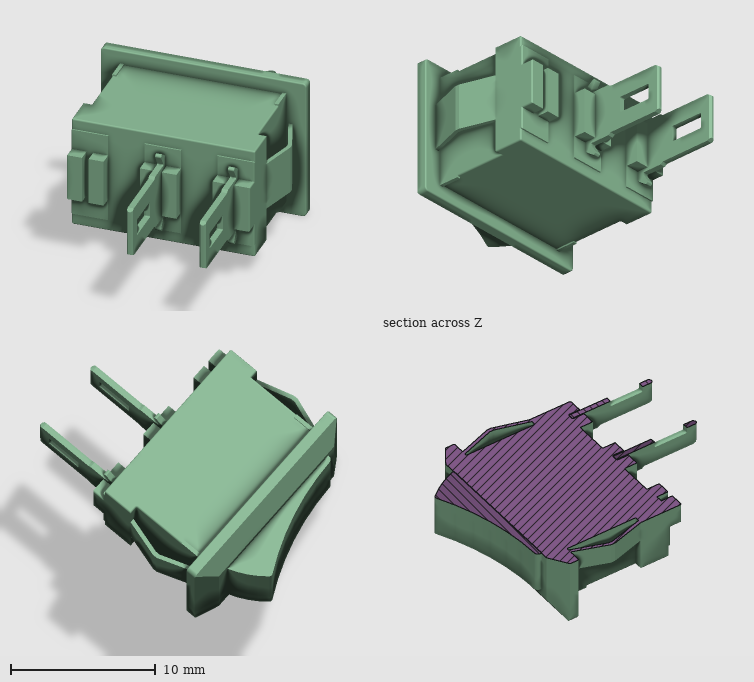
import cadquery as cq

bezel_length = 15.1
bezel_height = 10.6
bezel_rim = 0.78
bezel_depth = 1.75
bezel_face_length = 12.23
bezel_face_height = 7.55
bezel_corner_radius = 0.3
bezel_edge_radius = 0.1

edge_radius = 0.12
body_length = 12.2
body_height = 8.4
body_depth = 8.15
base_length = 13.45
base_start = 5.75
rib_width = 0.3
rib_height = 0.12
rib_depth = 1.63

terminal_pitch = 5.35
pad_width = 2.68
pad_thickness = 0.12
pad_bottom = -3.3
middle_pad_top = 3.3
end_pad_top = 3.4
block_depth = 0.93
block_height = 3.5
block_centre_z = 0.12
middle_block_gap = 0.55
end_block_gap = 0.49
pad_face = -body_depth - pad_thickness
block_face = pad_face - block_depth

clip_thickness = 0.31
clip_height = 3.55
clip_centre_z = 0.15
clip_root_x = 6.55
clip_bend_x = 7.5
clip_bend_start = 2.72
clip_bend_end = 3.05

rocker_left = -5.5
rocker_right = 5.2
rocker_height = 6.47
rocker_low_y = 2.14
rocker_tip_x = 3.62
rocker_tip_y = 4.43
rocker_side_radius = 7.39
rocker_low_radius = 0.31
rocker_tip_radius = 0.23

terminal_thickness = 0.45
terminal_centre_z = 0.14
terminal_end = -15.07
blade_half = 1.87
shoulder_half = 2.02
shoulder_end = -10.38
shoulder_slope_length = 0.21
tip_taper_length = 0.31
tip_taper_height = 0.17
tip_bevel = 0.14
notch_y = -8.69
notch_radius = 0.08
barb_root_half = 2.53
barb_outer_corner = (-9.02, 3.07)
barb_inner_corner = (-9.23, 2.9)
barb_tip_radius = 0.12
window_centre_y = -12.81
window_length = 2.7
window_height = 1.22
window_radius = 0.1


def box(x_range, y_range, z_range):
    """Box between two limits along each axis."""
    lows, highs = zip(x_range, y_range, z_range)
    sizes = [high - low for low, high in zip(lows, highs)]
    return cq.Workplane("XY").box(*sizes, centered=False).translate(lows)


def make_bezel():
    """Rectangular frame with sloping front faces, rounded corners and a rounded back edge."""
    rim = cq.Workplane("XZ").rect(bezel_length, bezel_height).extrude(-bezel_rim)
    slope = (
        cq.Workplane("XZ", origin=(0, bezel_rim, 0))
        .rect(bezel_length, bezel_height)
        .workplane(offset=bezel_rim - bezel_depth)
        .rect(bezel_face_length, bezel_face_height)
        .loft()
    )
    block = cq.Workplane("XZ").rect(bezel_length, bezel_height).extrude(-bezel_depth)
    rounded = block.edges("|Y").fillet(bezel_corner_radius).faces("<Y").edges().fillet(bezel_edge_radius)
    return rim.union(slope).intersect(rounded)


def make_body():
    """T-shaped block with a wider rear part; only the +X inside corner of the T is rounded."""
    half_body = body_length / 2
    half_base = base_length / 2
    body = (
        cq.Workplane("XY", origin=(0, 0, -body_height / 2))
        .moveTo(-half_body, 0)
        .lineTo(-half_body, -base_start)
        .lineTo(-half_base, -base_start)
        .lineTo(-half_base, -body_depth)
        .lineTo(half_base, -body_depth)
        .lineTo(half_base, -base_start)
        .lineTo(half_body, -base_start)
        .lineTo(half_body, 0)
        .close()
        .extrude(body_height)
    )
    body = body.edges("|Z and <Y").fillet(edge_radius)
    notch_corner = cq.NearestToPointSelector((half_body, -base_start, 0))
    body = body.edges("|Z").edges(notch_corner).fillet(edge_radius)
    return body.faces("<Z or >Z").edges("not >Y").fillet(edge_radius)


def make_ribs():
    """Four square corner ribs next to the bezel, standing out above and below the body."""
    half_height = body_height / 2 + rib_height
    rib_range_x = (body_length / 2 - rib_width, body_length / 2)
    right_rib = box(rib_range_x, (-rib_depth, 0), (-half_height, half_height))
    return right_rib.union(right_rib.mirror("YZ"))


def round_outer_edges(shape, side):
    """Round the exposed edges of the outer face, which is flush with the end of the base."""
    outer_face = ">X" if side > 0 else "<X"
    return shape.faces(outer_face).edges("not >Y").fillet(edge_radius)


def make_pad(position):
    """Raised pad and its two guide blocks; position is -1, 0 or 1 along X."""
    centre_x = position * terminal_pitch
    pad_left = centre_x - pad_width / 2
    pad_right = centre_x + pad_width / 2
    pad_top = end_pad_top
    block_gap = end_block_gap
    if position < 0:
        pad_left = -base_length / 2
    elif position > 0:
        pad_right = base_length / 2
    else:
        pad_top = middle_pad_top
        block_gap = middle_block_gap

    root_y = -body_depth + 2 * edge_radius
    block_z = (block_centre_z - block_height / 2, block_centre_z + block_height / 2)
    pad = box((pad_left, pad_right), (pad_face, root_y), (pad_bottom, pad_top))
    left_block = box((pad_left, centre_x - block_gap / 2), (block_face, root_y), block_z)
    right_block = box((centre_x + block_gap / 2, pad_right), (block_face, root_y), block_z)
    if position < 0:
        pad = round_outer_edges(pad, position)
        left_block = round_outer_edges(left_block, position)
    elif position > 0:
        pad = round_outer_edges(pad, position)
        right_block = round_outer_edges(right_block, position)
    return pad.union(left_block).union(right_block)


def make_clip():
    """Bent strip on the +X side, running from the bezel to the wide rear part of the body."""
    outer = [
        (clip_root_x, 0),
        (clip_bend_x, -clip_bend_start),
        (clip_bend_x, -clip_bend_end),
        (base_length / 2, -base_start),
    ]
    inner = [(x - clip_thickness, y) for x, y in reversed(outer)]
    plane = cq.Workplane("XY", origin=(0, 0, clip_centre_z - clip_height / 2))
    return plane.polyline(outer + inner).close().extrude(clip_height)


def make_housing():
    """Bezel, body, ribs, pads and both clips as one moulding."""
    housing = make_bezel().union(make_body()).union(make_ribs())
    for position in (-1, 0, 1):
        housing = housing.union(make_pad(position))
    clip = make_clip()
    return housing.union(clip).union(clip.mirror("YZ"))


def make_rocker():
    """Rocker with a concave top that starts level at the low end and rises to the tip."""
    run = rocker_tip_x - rocker_left
    rise = rocker_tip_y - rocker_low_y
    top_radius = (run**2 + rise**2) / (2 * rise)
    rocker = (
        cq.Workplane("XY", origin=(0, 0, -rocker_height / 2))
        .moveTo(rocker_left, bezel_depth)
        .lineTo(rocker_left, rocker_low_y)
        .radiusArc((rocker_tip_x, rocker_tip_y), -top_radius)
        .radiusArc((rocker_right, bezel_depth), rocker_side_radius)
        .close()
        .extrude(rocker_height)
    )
    rocker = rocker.edges("|Z and >Y").fillet(rocker_tip_radius)
    low_corner = cq.NearestToPointSelector((rocker_left, rocker_low_y, 0))
    return rocker.edges("|Z").edges(low_corner).fillet(rocker_low_radius)


def make_terminal(centre_x):
    """Flat blade with a shoulder, two barbs, a window and a bevelled tip."""
    upper = [
        (pad_face, barb_root_half),
        barb_outer_corner,
        barb_inner_corner,
        (notch_y, shoulder_half),
        (shoulder_end, shoulder_half),
        (shoulder_end - shoulder_slope_length, blade_half),
        (terminal_end + tip_taper_length, blade_half),
        (terminal_end, blade_half - tip_taper_height),
    ]
    lower = [(y, -z) for y, z in reversed(upper)]
    plane = cq.Workplane("YZ", origin=(centre_x - terminal_thickness / 2, 0, terminal_centre_z))
    blade = plane.polyline(upper + lower).close().extrude(terminal_thickness)
    blade = blade.faces("<Y").edges("|Z").chamfer(tip_bevel)

    rounded_corners = [
        (barb_outer_corner, barb_tip_radius),
        (barb_inner_corner, barb_tip_radius),
        ((notch_y, shoulder_half), notch_radius),
    ]
    for side in (-1, 1):
        for (corner_y, corner_z), radius in rounded_corners:
            corner = (centre_x, corner_y, terminal_centre_z + side * corner_z)
            blade = blade.edges("|X").edges(cq.NearestToPointSelector(corner)).fillet(radius)

    window = plane.center(window_centre_y, 0).rect(window_length, window_height)
    window = window.extrude(terminal_thickness).edges("|X").fillet(window_radius)
    return blade.cut(window)


housing = make_housing()
rocker = make_rocker()
terminals = [make_terminal(position * terminal_pitch) for position in (0, 1)]

result = cq.Compound.makeCompound(
    [housing.val(), rocker.val(), *[terminal.val() for terminal in terminals]]
)